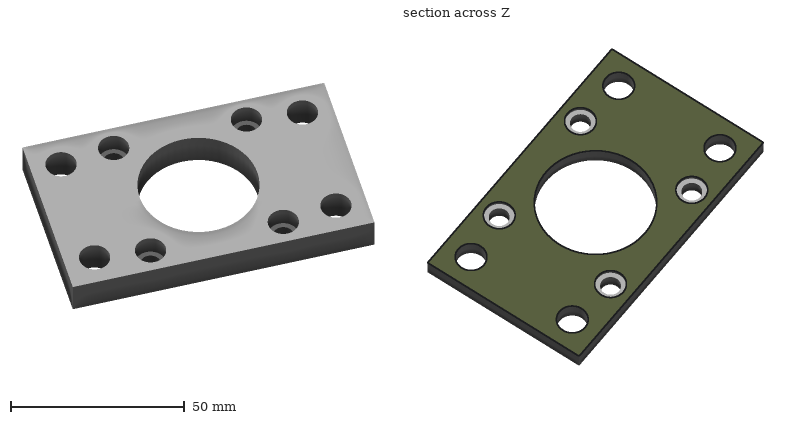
import cadquery as cq

plate_width = 54.0
plate_length = 90.0
plate_thickness = 10.0

bore_diameter = 35.1

corner_hole_diameter = 9.0
corner_spacing_x = 36.0
corner_spacing_y = 72.0

screw_spacing = 39.6
screw_hole_diameter = 6.0
counterbore_diameter = 9.0
counterbore_depth = 6.0


def make_plate():
    """Rectangular plate centred in X and Y, resting on Z = 0."""
    return cq.Workplane("XY").box(plate_width, plate_length, plate_thickness, centered=(True, True, False))


def cut_central_bore(body):
    return body.faces(">Z").workplane(origin=(0, 0, 0)).hole(bore_diameter)


def cut_corner_holes(body):
    top = body.faces(">Z").workplane(origin=(0, 0, 0))
    return top.rarray(corner_spacing_x, corner_spacing_y, 2, 2).hole(corner_hole_diameter)


def cut_screw_holes(body):
    """Through holes whose counterbores open on the top face."""
    top = body.faces(">Z").workplane(origin=(0, 0, 0))
    pattern = top.rarray(screw_spacing, screw_spacing, 2, 2)
    return pattern.cboreHole(screw_hole_diameter, counterbore_diameter, counterbore_depth)


result = make_plate()
result = cut_central_bore(result)
result = cut_corner_holes(result)
result = cut_screw_holes(result)